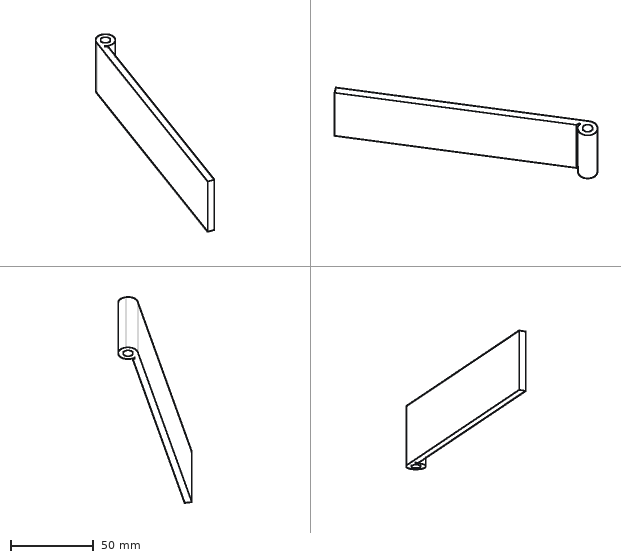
import cadquery as cq
import math

overall_length = 162.0
height = 38.0
knuckle_diameter = 12.0
pin_diameter = 6.0
leaf_thickness = 4.5

notch_angle = -30.0
notch_floor_width = 0.6
bevel_angle = 45.0

knuckle_radius = knuckle_diameter / 2
leaf_end_x = overall_length - knuckle_radius
leaf_outer_y = -knuckle_radius
leaf_inner_y = leaf_outer_y + leaf_thickness

roll_side_angle = 180.0
roll_bottom_angle = 270.0


def knuckle_point(angle):
    """Point on the outside of the knuckle at an angle from +X, in degrees."""
    turn = math.radians(angle)
    return knuckle_radius * math.cos(turn), knuckle_radius * math.sin(turn)


def make_body():
    """Leaf and rolled knuckle as one outline, extruded over the full height."""
    notch_x, notch_y = knuckle_point(notch_angle)
    bevel_start_x = notch_x + notch_floor_width
    bevel_top_x = bevel_start_x + (leaf_inner_y - notch_y) / math.tan(math.radians(bevel_angle))
    upper_middle = knuckle_point((notch_angle + roll_side_angle) / 2)
    lower_middle = knuckle_point((roll_side_angle + roll_bottom_angle) / 2)
    return (
        cq.Workplane("XY")
        .moveTo(0, leaf_outer_y)
        .lineTo(leaf_end_x, leaf_outer_y)
        .lineTo(leaf_end_x, leaf_inner_y)
        .lineTo(bevel_top_x, leaf_inner_y)
        .lineTo(bevel_start_x, notch_y)
        .lineTo(notch_x, notch_y)
        .threePointArc(upper_middle, knuckle_point(roll_side_angle))
        .threePointArc(lower_middle, (0, leaf_outer_y))
        .close()
        .extrude(height)
    )


def make_pin_hole():
    """Cylinder that clears the pin through the full height of the knuckle."""
    return cq.Workplane("XY").circle(pin_diameter / 2).extrude(height)


result = make_body().cut(make_pin_hole())